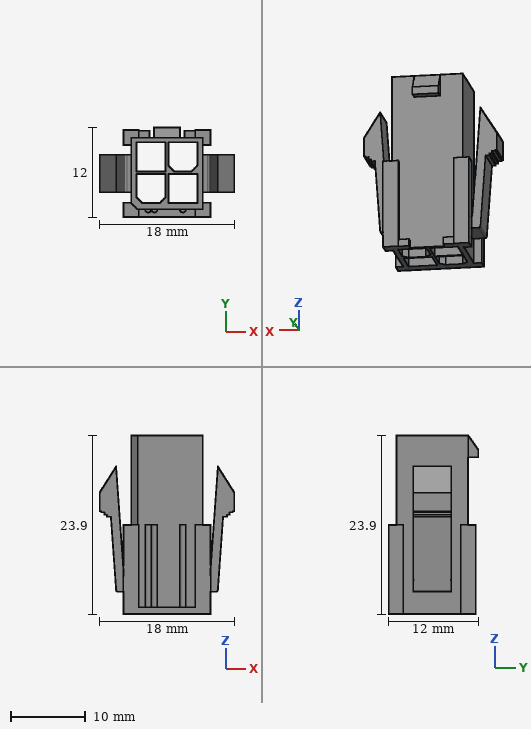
import cadquery as cq

HEIGHT = 23.9
BODY = 9.6
KEY_CHAMFER = 0.88

CAVITY = 3.85
CAVITY_X = 2.13
CAVITY_REAR_Y = 2.22
CAVITY_FRONT_Y = -2.0
CAVITY_CHAMFER = 0.76

SKIRT = 11.66
SKIRT_HEIGHT = 11.93
POST_INNER_X = 3.78
POST_REAR_INNER_Y = 3.78
POST_FRONT_INNER_Y = 3.87
SILL_HEIGHT = 0.95

FLANGE_INNER_X = 2.32
FLANGE_REAR_Y = 5.74

RIB_RADIUS = 0.4
RIB_POSITIONS = (-2.5, -1.67, 2.13)

HOOK_WIDTH = 3.51
HOOK_REACH = 6.17
HOOK_SHOULDER_Z = 21.96
HOOK_BOTTOM_Z = 20.94

LATCH_WIDTH = 5.05
LATCH_SPAN = 18.0
LATCH_TIP = (6.79, 19.75)
LATCH_SHOULDER_Z = 16.25
LATCH_LEAN = 0.0715
LATCH_BARB_X = 7.5
LATCH_BARB_Z = 13.0
LATCH_BOTTOM_Z = 2.99
LATCH_ROOT_TOP_Z = 4.55
LATCH_HEEL_RADIUS = 0.26
LATCH_ROOT_RADIUS = 0.33
BARB_STEPS = ((8.03, 13.26), (8.36, 13.6), (8.8, 13.75))


def block(x0, x1, y0, y1, z0, z1):
    """Box spanning the given limits."""
    return cq.Workplane("XY").box(x1 - x0, y1 - y0, z1 - z0, centered=False).translate((x0, y0, z0))


def mirrored(solid):
    """The solid joined with its mirror image across X = 0."""
    return solid.union(solid.mirror("YZ"))


def housing():
    column = cq.Workplane("XY").rect(BODY, BODY).extrude(HEIGHT)
    return column.edges("|Z and <X and <Y").chamfer(KEY_CHAMFER)


def skirt():
    """Four corner posts, the front sill and the two rear flanges."""
    outer = SKIRT / 2
    core = BODY / 2 - KEY_CHAMFER
    front_post = block(POST_INNER_X, outer, -outer, -POST_FRONT_INNER_Y, 0, SKIRT_HEIGHT)
    rear_post = block(POST_INNER_X, outer, POST_REAR_INNER_Y, outer, 0, SKIRT_HEIGHT)
    flange = block(FLANGE_INNER_X, POST_INNER_X, core, FLANGE_REAR_Y, 0, SILL_HEIGHT)
    sill = block(-POST_INNER_X, POST_INNER_X, -outer, -core, 0, SILL_HEIGHT)
    return mirrored(front_post.union(rear_post).union(flange)).union(sill)


def ribs():
    centres = [(x, -BODY / 2) for x in RIB_POSITIONS]
    return cq.Workplane("XY").pushPoints(centres).circle(RIB_RADIUS).extrude(SKIRT_HEIGHT)


def hook():
    face = BODY / 2
    profile = [
        (face, HEIGHT),
        (HOOK_REACH, HOOK_SHOULDER_Z),
        (HOOK_REACH, HOOK_BOTTOM_Z),
        (face, HOOK_BOTTOM_Z),
    ]
    return cq.Workplane("YZ").polyline(profile).close().extrude(HOOK_WIDTH / 2, both=True)


def latches():
    """Leaning spring arms with a stepped barb, rooted in the housing sides."""
    tip_x, tip_z = LATCH_TIP
    face = BODY / 2
    heel_x = LATCH_BARB_X - LATCH_LEAN * (LATCH_BARB_Z - LATCH_BOTTOM_Z)
    inner_x = tip_x - LATCH_LEAN * (tip_z - LATCH_ROOT_TOP_Z)

    outline = cq.Workplane("XZ").moveTo(face, LATCH_BOTTOM_Z).lineTo(heel_x, LATCH_BOTTOM_Z)
    outline = outline.lineTo(LATCH_BARB_X, LATCH_BARB_Z)
    for x, z in BARB_STEPS:
        outline = outline.hLineTo(x).vLineTo(z)
    outline = outline.hLineTo(LATCH_SPAN / 2).vLineTo(LATCH_SHOULDER_Z)
    outline = outline.lineTo(tip_x, tip_z).lineTo(inner_x, LATCH_ROOT_TOP_Z).hLineTo(face).close()
    arm = outline.extrude(LATCH_WIDTH / 2, both=True)

    heel = cq.selectors.NearestToPointSelector((heel_x, 0, LATCH_BOTTOM_Z))
    root = cq.selectors.NearestToPointSelector((inner_x, 0, LATCH_ROOT_TOP_Z))
    arm = arm.edges(heel).fillet(LATCH_HEEL_RADIUS)
    return mirrored(arm.edges(root).fillet(LATCH_ROOT_RADIUS))


def cavities():
    """Four through cavities, the front-left and rear-right ones with their two front corners cut."""
    cutter = None
    for side in (-1, 1):
        for row_y in (CAVITY_FRONT_Y, CAVITY_REAR_Y):
            cavity = cq.Workplane("XY").rect(CAVITY, CAVITY).extrude(HEIGHT)
            if side * row_y > 0:
                cavity = cavity.edges("|Z and <Y").chamfer(CAVITY_CHAMFER)
            cavity = cavity.translate((side * CAVITY_X, row_y, 0))
            cutter = cavity if cutter is None else cutter.union(cavity)
    return cutter


result = housing().union(skirt()).union(ribs()).union(hook()).union(latches()).cut(cavities())